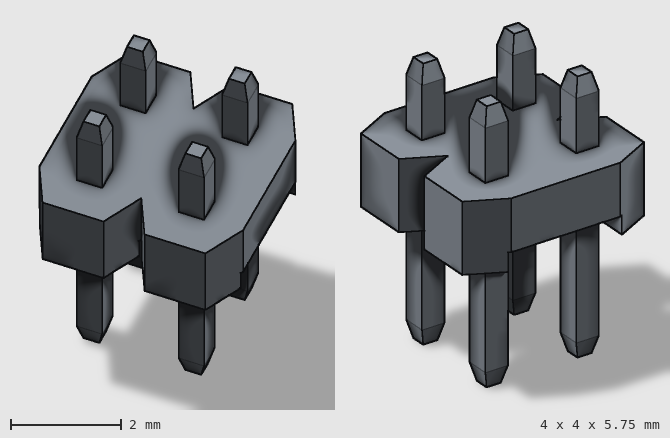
import cadquery as cq

pitch = 2.0
pins_per_side = 2
pin_width = 0.5
pin_length = 5.75
tip_length = 0.375
tip_width = 0.31
tail_length = 2.75
body_height = 1.5
corner_x = 0.4
corner_y = 0.8
channel_depth = 0.395

body_size = pins_per_side * pitch
channel_width = pitch + pin_width
shank_length = pin_length - 2 * tip_length
body_bottom = tail_length


def make_cell(center_x):
    """One column of the body: a rectangle with its four corners cut."""
    half_x = pitch / 2
    half_y = body_size / 2
    flat_x = half_x - corner_x
    flat_y = half_y - corner_y
    outline = [
        (half_x, flat_y),
        (flat_x, half_y),
        (-flat_x, half_y),
        (-half_x, flat_y),
        (-half_x, -flat_y),
        (-flat_x, -half_y),
        (flat_x, -half_y),
        (half_x, -flat_y),
    ]
    return (
        cq.Workplane("XY", origin=(center_x, 0, body_bottom))
        .polyline(outline)
        .close()
        .extrude(body_height)
    )


def make_tip(base_plane):
    """Tapered pin end, growing outward from the given plane."""
    return (
        cq.Workplane(base_plane)
        .rect(pin_width, pin_width)
        .workplane(offset=tip_length)
        .rect(tip_width, tip_width)
        .loft(ruled=True)
    )


def make_pin():
    """Square pin standing on Z = 0 with both ends tapered."""
    shank = (
        cq.Workplane("XY", origin=(0, 0, tip_length))
        .rect(pin_width, pin_width)
        .extrude(shank_length)
    )
    bottom_tip = make_tip(cq.Plane((0, 0, tip_length), (1, 0, 0), (0, 0, -1)))
    top_tip = make_tip(cq.Plane((0, 0, pin_length - tip_length), (1, 0, 0), (0, 0, 1)))
    return shank.union(bottom_tip).union(top_tip)


centers = [(i - (pins_per_side - 1) / 2) * pitch for i in range(pins_per_side)]

body = make_cell(centers[0])
for x in centers[1:]:
    body = body.union(make_cell(x))

channel = (
    cq.Workplane("XY", origin=(0, 0, body_bottom))
    .rect(body_size, channel_width)
    .extrude(channel_depth)
)
result = body.cut(channel)

pin = make_pin()
for x in centers:
    for y in centers:
        result = result.union(pin.translate((x, y, 0)))